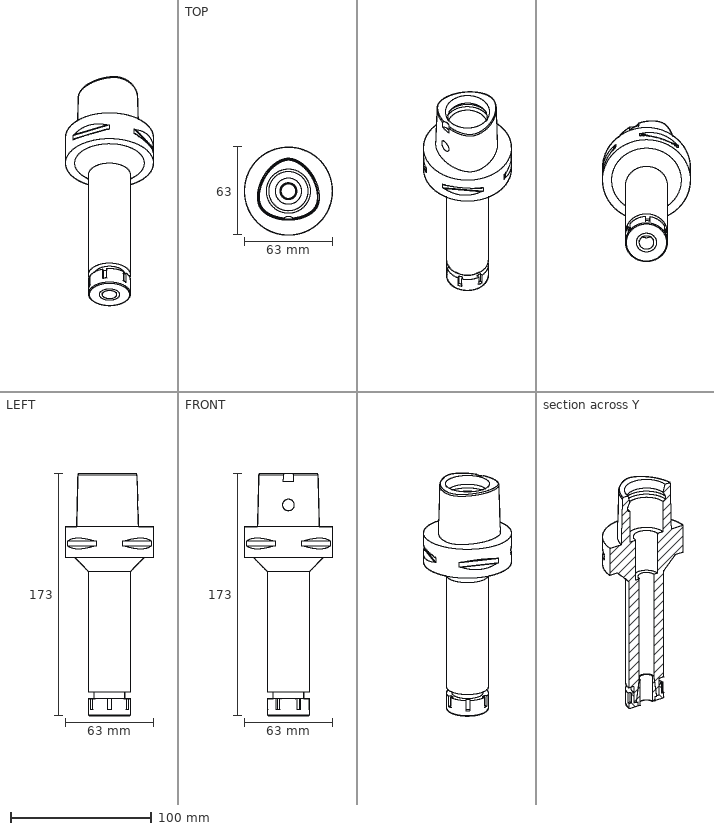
import cadquery as cq
import math

TOTAL_HEIGHT = 173.0
FLANGE_TOP = 135.1
FLANGE_BOTTOM = 113.0
CONE_BOTTOM = 103.0
BARREL_BOTTOM = 17.0
NUT_HEIGHT = 12.3

FLANGE_RADIUS = 31.5
CONE_TOP_RADIUS = 24.9
BARREL_RADIUS = 15.0
NECK_RADIUS = 11.0

SHANK_BASE_RADIUS = 22.1
SHANK_TAPER = 1 / 40
LOBE_HEIGHT = 1.4
SHANK_CHAMFER_HEIGHT = 1.2
SHANK_CHAMFER_WIDTH = 0.5
LOBES = 3
OUTLINE_POINTS = 24

MOUTH_RADIUS = 15.7
THROAT_RADIUS = 14.0
CLAMP_GROOVE_RADIUS = 16.1
THROAT_DEPTH = 6.0
GROOVE_FLARE_DEPTH = 9.7
GROOVE_FLOOR_DEPTH = 12.1
GROOVE_LIP_DEPTH = 13.5

MIDDLE_BORE_RADIUS = 9.3
LOWER_BORE_RADIUS = 6.0
MIDDLE_BORE_BOTTOM = CONE_BOTTOM

NOTCH_RADIUS = 4.8
NOTCH_FLOOR_Y = -18.0
NOTCH_DEPTH = 5.9
SIDE_HOLE_RADIUS = 4.2
SIDE_HOLE_DEPTH_FROM_TOP = 22.5
SIDE_HOLE_FLOOR_Y = -14.7

GRIP_COUNT = 4
GRIP_FLOOR_DISTANCE = 27.9
GRIP_FLOOR_HEIGHT = 3.6
GRIP_STEP_HEIGHT = 0.7
GRIP_WALL_ANGLE = 35.0
GRIP_CENTER_Z = 123.0

NUT_SLOT_COUNT = 6
NUT_SLOT_WIDTH = 3.0
NUT_SLOT_BOTTOM = 4.5
NUT_SLOT_DEPTH = 2.0
NUT_CHAMFER = 0.7
NUT_WALL = 3.5

COLLET_NOSE_RADIUS = 7.3
COLLET_SHOULDER_RADIUS = 8.5
COLLET_BORE_RADIUS = 5.2
COLLET_HALF_ANGLE = 8.0
COLLET_TOP = NUT_WALL + (COLLET_SHOULDER_RADIUS - LOWER_BORE_RADIUS) / math.tan(
    math.radians(COLLET_HALF_ANGLE)
)


def revolve_profile(points):
    """Solid of revolution about Z from (radius, z) points."""
    return cq.Workplane("XZ").polyline(points).close().revolve(360, (0, 0, 0), (0, 1, 0))


def cylinder(radius, bottom, top):
    return cq.Workplane("XY").workplane(offset=bottom).circle(radius).extrude(top - bottom)


def lobed_wire(mean_radius, z):
    """Constant-width outline: mean radius plus a three-wave rise, one lobe pointing to +Y."""
    points = []
    for i in range(OUTLINE_POINTS):
        angle = 2 * math.pi * i / OUTLINE_POINTS
        phase = LOBES * (angle - math.pi / 2)
        reach = mean_radius + LOBE_HEIGHT * math.cos(phase)
        slope = -LOBES * LOBE_HEIGHT * math.sin(phase)
        x = reach * math.cos(angle) - slope * math.sin(angle)
        y = reach * math.sin(angle) + slope * math.cos(angle)
        points.append(cq.Vector(x, y, z))
    return cq.Wire.assembleEdges([cq.Edge.makeSpline(points, periodic=True)])


def make_shank():
    """Tapered lobed shank with a narrow chamfer around its top."""
    chamfer_z = TOTAL_HEIGHT - SHANK_CHAMFER_HEIGHT
    chamfer_radius = SHANK_BASE_RADIUS - SHANK_TAPER * (chamfer_z - FLANGE_TOP)
    sections = [
        lobed_wire(SHANK_BASE_RADIUS, FLANGE_TOP),
        lobed_wire(chamfer_radius, chamfer_z),
        lobed_wire(chamfer_radius - SHANK_CHAMFER_WIDTH, TOTAL_HEIGHT),
    ]
    return cq.Workplane(cq.Solid.makeLoft(sections, True))


def make_body_below_shank():
    """Flange, cone, barrel and neck."""
    return revolve_profile([
        (0, FLANGE_TOP),
        (FLANGE_RADIUS, FLANGE_TOP),
        (FLANGE_RADIUS, FLANGE_BOTTOM),
        (CONE_TOP_RADIUS, FLANGE_BOTTOM),
        (BARREL_RADIUS, CONE_BOTTOM),
        (BARREL_RADIUS, BARREL_BOTTOM),
        (NECK_RADIUS, BARREL_BOTTOM),
        (NECK_RADIUS, NUT_WALL),
        (0, NUT_WALL),
    ])


def make_bore():
    """Clamping bore, stepped through bore and tapered collet seat as one cutter."""
    return revolve_profile([
        (0, TOTAL_HEIGHT),
        (MOUTH_RADIUS, TOTAL_HEIGHT),
        (THROAT_RADIUS, TOTAL_HEIGHT - THROAT_DEPTH),
        (CLAMP_GROOVE_RADIUS, TOTAL_HEIGHT - GROOVE_FLARE_DEPTH),
        (CLAMP_GROOVE_RADIUS, TOTAL_HEIGHT - GROOVE_FLOOR_DEPTH),
        (THROAT_RADIUS, TOTAL_HEIGHT - GROOVE_LIP_DEPTH),
        (THROAT_RADIUS, FLANGE_TOP),
        (MIDDLE_BORE_RADIUS, FLANGE_TOP),
        (MIDDLE_BORE_RADIUS, MIDDLE_BORE_BOTTOM),
        (LOWER_BORE_RADIUS, MIDDLE_BORE_BOTTOM),
        (LOWER_BORE_RADIUS, COLLET_TOP),
        (COLLET_SHOULDER_RADIUS, NUT_WALL),
        (0, NUT_WALL),
    ])


def make_notch():
    """Round-backed notch open at the shank top and on the -Y side."""
    notch = cylinder(NOTCH_RADIUS, TOTAL_HEIGHT - NOTCH_DEPTH, TOTAL_HEIGHT)
    return notch.translate((0, NOTCH_FLOOR_Y - NOTCH_RADIUS, 0))


def make_side_hole():
    """Blind flat-bottomed hole, running out through the -Y side of the shank."""
    return (
        cq.Workplane("XZ", origin=(0, SIDE_HOLE_FLOOR_Y, 0))
        .center(0, TOTAL_HEIGHT - SIDE_HOLE_DEPTH_FROM_TOP)
        .circle(SIDE_HOLE_RADIUS)
        .extrude(FLANGE_RADIUS)
    )


def make_grip_groove(angle):
    """Straight groove facing outward at the angle: flat floor, short upright walls, flared mouth."""
    floor_half = GRIP_FLOOR_HEIGHT / 2
    flare_start = GRIP_FLOOR_DISTANCE + GRIP_STEP_HEIGHT
    flare_depth = FLANGE_RADIUS - flare_start
    mouth_half = floor_half + flare_depth * math.tan(math.radians(GRIP_WALL_ANGLE))
    groove = (
        cq.Workplane("XZ")
        .polyline([
            (GRIP_FLOOR_DISTANCE, GRIP_CENTER_Z - floor_half),
            (flare_start, GRIP_CENTER_Z - floor_half),
            (FLANGE_RADIUS, GRIP_CENTER_Z - mouth_half),
            (FLANGE_RADIUS, GRIP_CENTER_Z + mouth_half),
            (flare_start, GRIP_CENTER_Z + floor_half),
            (GRIP_FLOOR_DISTANCE, GRIP_CENTER_Z + floor_half),
        ])
        .close()
        .extrude(FLANGE_RADIUS, both=True)
    )
    return groove.rotate((0, 0, 0), (0, 0, 1), angle)


def make_holder():
    holder = make_body_below_shank().union(make_shank())
    holder = holder.cut(make_bore()).cut(make_notch()).cut(make_side_hole())
    pitch = 360 / GRIP_COUNT
    for i in range(GRIP_COUNT):
        holder = holder.cut(make_grip_groove((i + 0.5) * pitch))
    return holder


def make_nut():
    """Slotted nut screwed over the neck, as wide as the barrel."""
    nut = cylinder(BARREL_RADIUS, 0, NUT_HEIGHT).faces("<Z").edges().chamfer(NUT_CHAMFER)
    nut = nut.cut(cylinder(NECK_RADIUS, NUT_WALL, NUT_HEIGHT))
    nut = nut.cut(cylinder(COLLET_NOSE_RADIUS, 0, NUT_WALL))
    slot_height = NUT_HEIGHT - NUT_SLOT_BOTTOM
    slot = cq.Workplane("XY").box(NUT_SLOT_DEPTH, NUT_SLOT_WIDTH, slot_height, centered=(False, True, False))
    slot = slot.translate((BARREL_RADIUS - NUT_SLOT_DEPTH, 0, NUT_SLOT_BOTTOM))
    pitch = 360 / NUT_SLOT_COUNT
    for i in range(NUT_SLOT_COUNT):
        nut = nut.cut(slot.rotate((0, 0, 0), (0, 0, 1), i * pitch))
    return nut


def make_collet():
    """Hollow collet: straight nose in the nut, then a taper seated in the holder."""
    return revolve_profile([
        (COLLET_BORE_RADIUS, 0),
        (COLLET_NOSE_RADIUS, 0),
        (COLLET_NOSE_RADIUS, NUT_WALL),
        (COLLET_SHOULDER_RADIUS, NUT_WALL),
        (LOWER_BORE_RADIUS, COLLET_TOP),
        (COLLET_BORE_RADIUS, COLLET_TOP),
    ])


holder = make_holder()
nut = make_nut()
collet = make_collet()

result = cq.Compound.makeCompound([holder.val(), nut.val(), collet.val()])